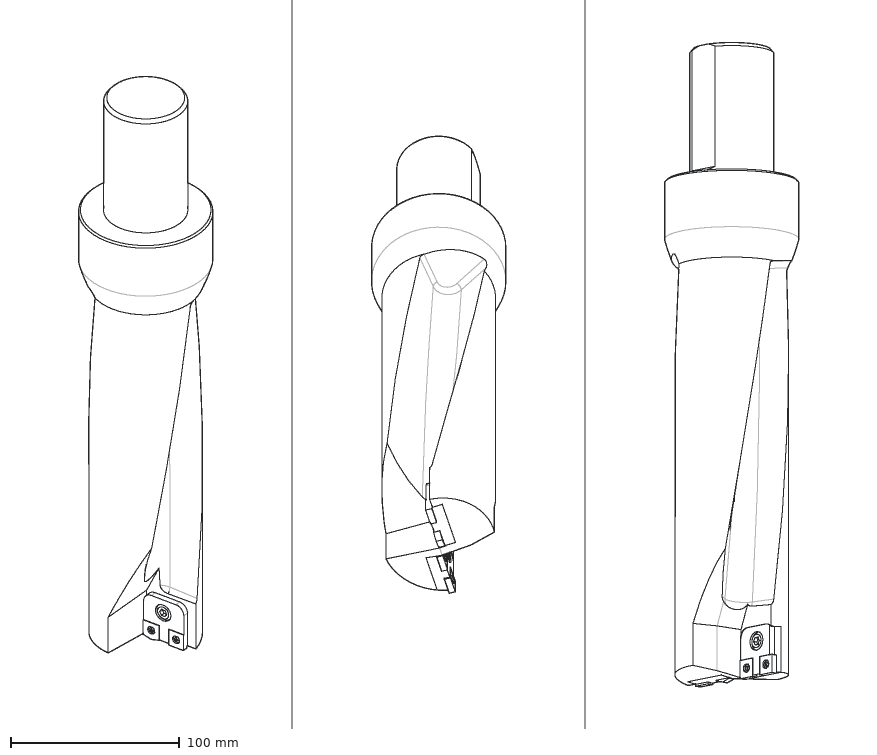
import cadquery as cq
import math

total_length = 382.0

shank_diameter = 50.0
shank_chamfer_width = 2.0
shank_chamfer_height = 2.3
shank_flat_offset = 23.0
shank_flat_start = 307.0
shank_flat_clearance = 0.5

collar_diameter = 80.0
collar_top = 302.5
collar_bottom = 267.5
collar_chamfer = 1.0
taper_bottom = 250.2
taper_bulge = 0.5

body_diameter = 67.5
body_radius = body_diameter / 2
nose_height = 1.5
nose_relief_slope = 0.11

flute_twist_rate = 0.2801
flute_span = 62.0
flute_top = 253.0
flute_corner_radius = 10.0
flute_end_radius = 5.7
flute_top_radius = 3.0
trim_allowance = 19.0
helix_tilt = 10.0

inner_flute_floor_angle = -2.0
inner_flute_bottom = 32.0
inner_flute_overcut = 5.7
outer_flute_floor_angle = 183.0
outer_flute_bottom = 41.0

gash_height = 30.5
gash_reach = 91.5
cutter_reach = 53.5

plate_thickness = 10.0
plate_top = 31.0
plate_corner_radius = 5.7
rim_relief_width = 1.0
rim_relief_depth = 3.5
insert_width = 10.7
pointed_insert_width = 11.5
insert_thickness = 3.5
insert_proud = 0.5
insert_top = 12.0
insert_bottom = 0.8
insert_hole_height = 6.5
insert_head_diameter = 5.0
insert_head_depth = 1.0
insert_socket_diameter = 3.0
insert_socket_depth = 2.3

screw_height = 21.8
screw_head_diameter = 11.0
screw_head_thickness = 4.5
screw_head_chamfer = 1.5
screw_shaft_diameter = 5.0
screw_length = 17.0
screw_socket_width = 5.0
screw_socket_depth = 2.5


def blank():
    """Turned blank: shank, collar, taper and body."""
    shank_radius = shank_diameter / 2
    collar_radius = collar_diameter / 2
    taper_middle = (
        (collar_radius + body_radius) / 2 + taper_bulge,
        (collar_bottom + taper_bottom) / 2,
    )
    return (
        cq.Workplane("XZ")
        .moveTo(0, 0)
        .lineTo(body_radius, 0)
        .lineTo(body_radius, taper_bottom)
        .threePointArc(taper_middle, (collar_radius, collar_bottom))
        .lineTo(collar_radius, collar_top - collar_chamfer)
        .lineTo(collar_radius - collar_chamfer, collar_top)
        .lineTo(shank_radius, collar_top)
        .lineTo(shank_radius, total_length - shank_chamfer_height)
        .lineTo(shank_radius - shank_chamfer_width, total_length)
        .lineTo(0, total_length)
        .close()
        .revolve(360, (0, 0), (0, 1))
    )


def shank_flat_cutter():
    """Block that leaves a clamping flat on the +Y side of the shank, ending in a 45 degree slope."""
    outer_side = shank_diameter / 2 + shank_flat_clearance
    depth = outer_side - shank_flat_offset
    return (
        cq.Workplane("YZ", origin=(-shank_diameter / 2, 0, 0))
        .polyline([
            (shank_flat_offset, shank_flat_start),
            (outer_side, shank_flat_start - depth),
            (outer_side, total_length),
            (shank_flat_offset, total_length),
        ])
        .close()
        .extrude(shank_diameter)
    )


def above_nose():
    """Roof-bottomed block whose ridge runs along X; what lies below it is ground away."""
    edge_height = nose_height + nose_relief_slope * cutter_reach
    return (
        cq.Workplane("YZ", origin=(-cutter_reach, 0, 0))
        .polyline([
            (0, nose_height),
            (cutter_reach, edge_height),
            (cutter_reach, total_length),
            (-cutter_reach, total_length),
            (-cutter_reach, edge_height),
        ])
        .close()
        .extrude(2 * cutter_reach)
    )


def polar(radius, angle):
    return (radius * math.cos(math.radians(angle)), radius * math.sin(math.radians(angle)))


def flute_cutter(floor_angle, bottom, overcut=0.0):
    """Twisted wedge with rounded root and ends; floor_angle is its floor direction at the bottom.

    The wall points at the axis; overcut moves the floor that far past the axis.
    """
    wall_angle = floor_angle - flute_span
    apex = polar(-overcut / math.sin(math.radians(flute_span)), wall_angle)
    wedge = (
        cq.Workplane("XY")
        .polyline([
            (0, 0),
            polar(cutter_reach, wall_angle),
            polar(2 * cutter_reach, floor_angle - flute_span / 2),
            polar(cutter_reach, floor_angle),
        ])
        .close()
        .extrude(4)
    )
    root = cq.selectors.BoxSelector((-0.5, -0.5, -4), (0.5, 0.5, 7.5))
    rounded_wedge = wedge.edges("|Z").edges(root).fillet(flute_corner_radius)
    outline = rounded_wedge.faces("<Z").wires().val().translate(cq.Vector(*apex))
    height = flute_top + trim_allowance - bottom
    twist = flute_twist_rate * height
    cutter = cq.Workplane("XY").add(
        cq.Solid.extrudeLinearWithRotation(
            outline, [], cq.Vector(0, 0, 0), cq.Vector(0, 0, height), twist
        )
    )
    cutter = cutter.faces("<Z").edges().fillet(flute_end_radius).translate((0, 0, bottom))
    middle_angle = floor_angle - flute_span / 2 + flute_twist_rate * (flute_top - bottom)
    top_block = (
        cq.Workplane("XY")
        .box(4 * cutter_reach, 4 * cutter_reach, cutter_reach, centered=(True, True, False))
        .rotate((0, 0, 0), (1, 0, 0), helix_tilt)
        .rotate((0, 0, 0), (0, 0, 1), middle_angle)
        .translate((0, 0, flute_top))
    )
    return cutter.cut(top_block).faces(">Z").edges().fillet(flute_top_radius)


def gash_cutter(section_points, run_out_slope):
    """Straight notch at the nose that leans out of the body above gash_height."""
    wire = cq.Workplane("XY").polyline(section_points).close().wire().val()
    straight = cq.Solid.extrudeLinear(wire, [], cq.Vector(0, 0, gash_height))
    lean = cq.Vector(run_out_slope * gash_reach, 0, gash_reach)
    slanted = cq.Solid.extrudeLinear(wire.translate(cq.Vector(0, 0, gash_height)), [], lean)
    return cq.Workplane("XY").add(straight).union(cq.Workplane("XY").add(slanted))


def half_turn(shape):
    return shape.rotate((0, 0, 0), (0, 0, 1), 180)


def xz_block(x_min, x_max, z_min, z_max, front, back):
    return (
        cq.Workplane("XY", origin=(x_min, front, z_min))
        .box(x_max - x_min, back - front, z_max - z_min, centered=False)
    )


def plate(x_min, x_max):
    """Plate with rounded upper corners, as deep as its pocket."""
    block = xz_block(x_min, x_max, 0, plate_top, 0, plate_thickness)
    return block.edges("|Y and >Z").fillet(plate_corner_radius)


def y_cylinder(x, z, diameter, front, back):
    return (
        cq.Workplane("XZ", origin=(x, front, z)).circle(diameter / 2).extrude(front - back)
    )


def square_insert(x_min, x_max):
    return xz_block(x_min, x_max, insert_bottom, insert_top, -insert_proud, insert_thickness)


def pointed_insert(x_min, x_max):
    """Insert whose lower edge comes to the drill's lowest point."""
    return (
        cq.Workplane("XZ", origin=(0, insert_thickness, 0))
        .polyline([
            (x_min, insert_top),
            (x_min, nose_height),
            ((x_min + x_max) / 2, 0),
            (x_max, nose_height),
            (x_max, insert_top),
        ])
        .close()
        .extrude(insert_thickness + insert_proud)
    )


def insert_screw_recess(x):
    front = -insert_proud
    head = y_cylinder(x, insert_hole_height, insert_head_diameter, front, front + insert_head_depth)
    back = front + insert_socket_depth
    socket = y_cylinder(x, insert_hole_height, insert_socket_diameter, front, back)
    return head.union(socket)


def screw_envelope(x):
    """Space filled by a cartridge screw."""
    head = y_cylinder(x, screw_height, screw_head_diameter, 0, screw_head_thickness)
    return head.union(y_cylinder(x, screw_height, screw_shaft_diameter, 0, screw_length))


def cartridge_screw(x):
    socket = (
        cq.Workplane("XZ", origin=(x, 0, screw_height))
        .polygon(6, screw_socket_width)
        .extrude(-screw_socket_depth)
    )
    return screw_envelope(x).faces("<Y").chamfer(screw_head_chamfer).cut(socket)


def rim_relief():
    """Wedge that eases the rim of a plate beside its inserts."""
    return (
        cq.Workplane("XY")
        .polyline([
            (body_radius - rim_relief_width, 0),
            (body_radius, rim_relief_depth),
            (body_radius + rim_relief_width, 0),
        ])
        .close()
        .extrude(plate_top)
    )


def cartridge(x_min, x_max, inserts, screw_x):
    body_space = cq.Workplane("XY").circle(body_radius).extrude(total_length)
    shape = plate(x_min, x_max).intersect(body_space).intersect(above_nose())
    shape = shape.cut(rim_relief())
    for insert in inserts:
        shape = shape.union(insert)
    for insert in inserts:
        shape = shape.cut(insert_screw_recess(insert.val().BoundingBox().center.x))
    return shape.cut(screw_envelope(screw_x))


inner_x_min = -1.5
inner_x_max = 27.5
inner_screw_x = 12.5
inner_inserts = [
    pointed_insert(inner_x_min, inner_x_min + pointed_insert_width),
    square_insert(inner_x_max - insert_width, inner_x_max),
]
inner_cartridge = cartridge(inner_x_min, inner_x_max, inner_inserts, inner_screw_x)
inner_screw = cartridge_screw(inner_screw_x)

outer_x_min = 7.5
outer_x_max = 35.0
outer_screw_x = 21.5
outer_inserts = [
    square_insert(outer_x_min, outer_x_min + insert_width),
    square_insert(outer_x_max - insert_width, outer_x_max),
]
outer_cartridge = half_turn(cartridge(outer_x_min, outer_x_max, outer_inserts, outer_screw_x))
outer_screw = half_turn(cartridge_screw(outer_screw_x))

inner_seat_y = 4.0
inner_wall_rim_x = -4.0
inner_wall_root_x = -2.0
outer_seat_y = -0.5
outer_wall_rim_x = -2.3
outer_wall_kink = (-6.5, 18.0)
outer_wall_root_x = -7.5

inner_gash_points = [
    (inner_wall_root_x, inner_seat_y),
    (inner_wall_rim_x, -body_radius),
    (inner_wall_rim_x, -cutter_reach),
    (cutter_reach, -cutter_reach),
    (cutter_reach, inner_seat_y),
]
outer_gash_points = [
    (outer_wall_root_x, outer_seat_y),
    outer_wall_kink,
    (outer_wall_rim_x, body_radius),
    (outer_wall_rim_x, cutter_reach),
    (-cutter_reach, cutter_reach),
    (-cutter_reach, outer_seat_y),
]
inner_run_out_slope = 0.47
outer_run_out_slope = -0.4

inner_flute = flute_cutter(inner_flute_floor_angle, inner_flute_bottom, inner_flute_overcut)
outer_flute = flute_cutter(outer_flute_floor_angle, outer_flute_bottom)
drill_body = blank().cut(shank_flat_cutter()).intersect(above_nose())
drill_body = drill_body.cut(inner_flute).cut(outer_flute)
drill_body = drill_body.cut(gash_cutter(inner_gash_points, inner_run_out_slope))
drill_body = drill_body.cut(gash_cutter(outer_gash_points, outer_run_out_slope))
drill_body = drill_body.cut(plate(inner_x_min, inner_x_max))
drill_body = drill_body.cut(half_turn(plate(outer_x_min, outer_x_max)))
drill_body = drill_body.cut(screw_envelope(inner_screw_x))
drill_body = drill_body.cut(half_turn(screw_envelope(outer_screw_x)))

result = cq.Compound.makeCompound([
    drill_body.val(),
    inner_cartridge.val(),
    outer_cartridge.val(),
    inner_screw.val(),
    outer_screw.val(),
])